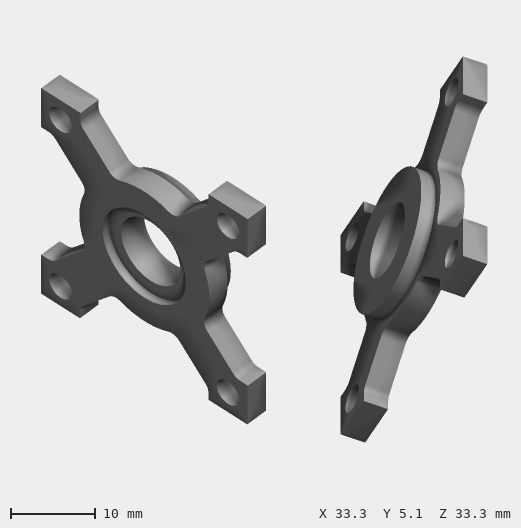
import cadquery as cq
import math

plate_span = 33.27
plate_thickness = 3.2
hub_diameter = 20.95
arm_width = 6.32
tab_size = 6.32
tab_hole_diameter = 3.6
inner_fillet_radius = 1.6
tab_corner_radius = 0.1
recess_diameter = 13.37
recess_depth = 1.13

total_depth = 5.1
flange_diameter = 18.43
sleeve_diameter = 11.2
bore_diameter = 9.5

tolerance = 0.003
tab_offset = (plate_span - tab_size) / 2
arm_length = 2 * math.sqrt(2) * tab_offset
arm_angles = (45, -45)
tab_centers = [(x, z) for x in (-tab_offset, tab_offset) for z in (-tab_offset, tab_offset)]


def cylinder(diameter, start_y, end_y):
    """Solid cylinder on the Y axis between two Y positions."""
    sketch = cq.Workplane("XZ", origin=(0, start_y, 0)).circle(diameter / 2)
    return sketch.extrude(start_y - end_y)


def make_plate_blank():
    """Hub, arms and tabs with wide fillets inside and lightly rounded tab corners."""
    blank = cylinder(hub_diameter, 0, plate_thickness)
    for angle in arm_angles:
        arm = cq.Workplane("XZ").rect(arm_length, arm_width).extrude(-plate_thickness)
        blank = blank.union(arm.rotate((0, 0, 0), (0, 1, 0), angle))
    tabs = cq.Workplane("XZ").pushPoints(tab_centers).rect(tab_size, tab_size)
    blank = blank.union(tabs.extrude(-plate_thickness))

    def is_tab_corner(edge):
        point = edge.Center()
        return max(abs(point.x), abs(point.z)) > plate_span / 2 - tolerance

    def is_inner_corner(edge):
        point = edge.Center()
        on_diagonal = abs(abs(point.x) - abs(point.z)) < tolerance
        return not is_tab_corner(edge) and not on_diagonal

    def round_corners(body, is_wanted, radius):
        edges = [edge for edge in body.edges("|Y").vals() if is_wanted(edge)]
        return body.newObject(edges).fillet(radius)

    blank = round_corners(blank, is_inner_corner, inner_fillet_radius)
    return round_corners(blank, is_tab_corner, tab_corner_radius)


def make_plate():
    plate = make_plate_blank()
    holes = cq.Workplane("XZ").pushPoints(tab_centers).circle(tab_hole_diameter / 2)
    plate = plate.cut(holes.extrude(-plate_thickness))
    plate = plate.cut(cylinder(recess_diameter, 0, recess_depth))
    return plate.cut(cylinder(sleeve_diameter, 0, plate_thickness))


def make_bushing():
    bushing = cylinder(sleeve_diameter, recess_depth, plate_thickness)
    bushing = bushing.union(cylinder(flange_diameter, plate_thickness, total_depth))
    return bushing.cut(cylinder(bore_diameter, 0, total_depth))


plate = make_plate()
bushing = make_bushing()
result = cq.Compound.makeCompound([plate.val(), bushing.val()])